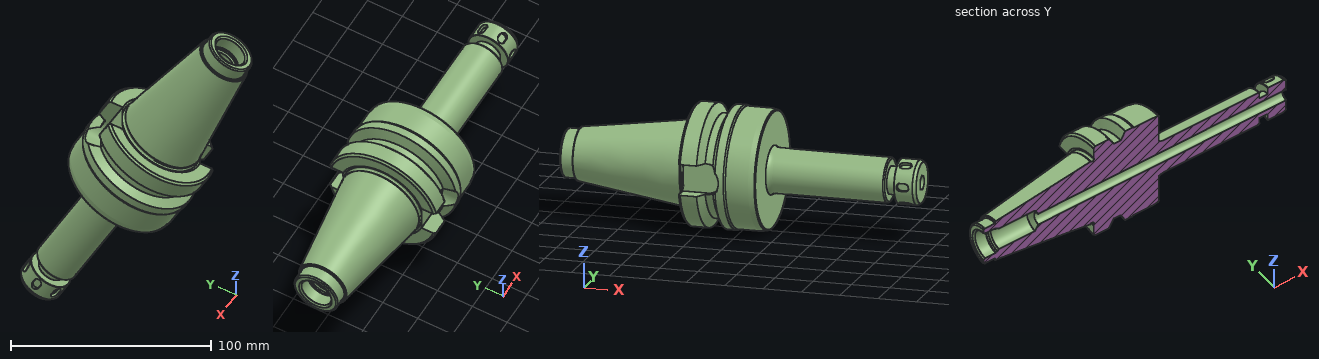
import cadquery as cq
import math

TOTAL_LENGTH = 185.4

PILOT_DIAMETER = 25.0
PILOT_END = 7.0
PILOT_CHAMFER = 0.7
TAPER_START_CHAMFER = 0.4
GAUGE_X = 65.5
GAUGE_DIAMETER = 44.5
TAPER_RATIO = 7 / 24

RELIEF_DIAMETER = 43.5
RELIEF_CHAMFER = 0.5
RELIEF_RIM_DIAMETER = 47.6
RELIEF_DEPTH = 0.4
RELIEF_RADIUS = 1.0

FLANGE_DIAMETER = 63.0
FLANGE_START = 67.3
FLANGE_CHAMFER = 1.1
FLANGE_END = 91.2
GROOVE_DIAMETER = 53.0
GROOVE_START = 77.0
GROOVE_FLOOR_START = 80.0
GROOVE_FLOOR_END = 84.0
GROOVE_END = 86.8

COLLAR_DIAMETER = 62.0
COLLAR_START = 92.1
COLLAR_END = 107.5
COLLAR_EDGE_LENGTH = 3.5
COLLAR_EDGE_DROP = 0.5
COLLAR_FACE_CHAMFER = 0.5

SHANK_DIAMETER = 23.0
SHANK_FOOT_DIAMETER = 25.0
SHANK_FOOT_LENGTH = 3.2
SHANK_END = 169.0
SHANK_CHAMFER = 0.7

NECK_DIAMETER = 14.3
NUT_START = 174.0
NUT_BACK_CHAMFER = 0.2
NUT_NOSE_LENGTH = 1.7
NUT_NOSE_DROP = 1.1

SLOT_COUNT = 6
SLOT_LENGTH = 6.3
SLOT_WIDTH = 4.0
SLOT_CENTER_X = 178.5
SLOT_FLOOR_RADIUS = 9.6

KEY_WIDTH = 16.0
KEY_FLOOR = 22.6
KEY_END = 88.6

BORE_MOUTH_DIAMETER = 19.0
BORE_DIAMETER = 17.0
BORE_END = 7.5
THREAD_RELIEF_DIAMETER = 16.0
THREAD_RELIEF_LENGTH = 1.1
THREAD_DIAMETER = 14.0
THREAD_END = 31.5
DRILL_POINT_ANGLE = 118
COOLANT_DIAMETER = 7.2


def turned_body():
    pilot = PILOT_DIAMETER / 2
    gauge = GAUGE_DIAMETER / 2
    flange = FLANGE_DIAMETER / 2
    groove = GROOVE_DIAMETER / 2
    collar = COLLAR_DIAMETER / 2
    collar_edge = collar - COLLAR_EDGE_DROP
    shank = SHANK_DIAMETER / 2
    neck = NECK_DIAMETER / 2
    relief = RELIEF_DIAMETER / 2
    relief_floor = FLANGE_START + RELIEF_DEPTH
    foot_rise = SHANK_FOOT_DIAMETER / 2 - shank
    taper_start = PILOT_END + TAPER_START_CHAMFER
    taper_small = gauge - (GAUGE_X - taper_start) * TAPER_RATIO / 2
    foot_radius = (SHANK_FOOT_LENGTH**2 + foot_rise**2) / (2 * foot_rise)
    foot_middle_x = COLLAR_END + SHANK_FOOT_LENGTH / 2
    foot_middle = shank + foot_radius - math.sqrt(foot_radius**2 - (SHANK_FOOT_LENGTH / 2) ** 2)
    return (
        cq.Workplane("XY")
        .moveTo(0, 0)
        .lineTo(0, pilot - PILOT_CHAMFER)
        .lineTo(PILOT_CHAMFER, pilot)
        .lineTo(PILOT_END, pilot)
        .lineTo(PILOT_END, taper_small - TAPER_START_CHAMFER)
        .lineTo(taper_start, taper_small)
        .lineTo(GAUGE_X, gauge)
        .lineTo(GAUGE_X + RELIEF_CHAMFER, relief)
        .lineTo(relief_floor - RELIEF_RADIUS, relief)
        .radiusArc((relief_floor, relief + RELIEF_RADIUS), -RELIEF_RADIUS)
        .lineTo(FLANGE_START, RELIEF_RIM_DIAMETER / 2)
        .lineTo(FLANGE_START, flange - FLANGE_CHAMFER)
        .lineTo(FLANGE_START + FLANGE_CHAMFER, flange)
        .lineTo(GROOVE_START, flange)
        .lineTo(GROOVE_FLOOR_START, groove)
        .lineTo(GROOVE_FLOOR_END, groove)
        .lineTo(GROOVE_END, flange)
        .lineTo(FLANGE_END, flange)
        .lineTo(COLLAR_START, collar)
        .lineTo(COLLAR_END - COLLAR_EDGE_LENGTH, collar)
        .lineTo(COLLAR_END - COLLAR_FACE_CHAMFER, collar_edge)
        .lineTo(COLLAR_END, collar_edge - COLLAR_FACE_CHAMFER)
        .lineTo(COLLAR_END, shank + foot_rise)
        .threePointArc((foot_middle_x, foot_middle), (COLLAR_END + SHANK_FOOT_LENGTH, shank))
        .lineTo(SHANK_END - SHANK_CHAMFER, shank)
        .lineTo(SHANK_END, shank - SHANK_CHAMFER)
        .lineTo(SHANK_END, neck)
        .lineTo(NUT_START, neck)
        .lineTo(NUT_START, shank - NUT_BACK_CHAMFER)
        .lineTo(NUT_START + NUT_BACK_CHAMFER, shank)
        .lineTo(TOTAL_LENGTH - NUT_NOSE_LENGTH, shank)
        .lineTo(TOTAL_LENGTH, shank - NUT_NOSE_DROP)
        .lineTo(TOTAL_LENGTH, 0)
        .close()
        .revolve(360, (0, 0, 0), (1, 0, 0))
    )


def stepped_bore():
    bore = BORE_DIAMETER / 2
    mouth = BORE_MOUTH_DIAMETER / 2
    relief = THREAD_RELIEF_DIAMETER / 2
    relief_end = BORE_END + THREAD_RELIEF_LENGTH
    thread = THREAD_DIAMETER / 2
    coolant = COOLANT_DIAMETER / 2
    half_point = math.radians(DRILL_POINT_ANGLE / 2)
    point_end = THREAD_END + (thread - coolant) / math.tan(half_point)
    return (
        cq.Workplane("XY")
        .moveTo(0, 0)
        .lineTo(0, mouth)
        .lineTo(mouth - bore, bore)
        .lineTo(BORE_END, bore)
        .lineTo(BORE_END, relief)
        .lineTo(relief_end, relief)
        .lineTo(relief_end + relief - thread, thread)
        .lineTo(THREAD_END, thread)
        .lineTo(point_end, coolant)
        .lineTo(TOTAL_LENGTH, coolant)
        .lineTo(TOTAL_LENGTH, 0)
        .close()
        .revolve(360, (0, 0, 0), (1, 0, 0))
    )


def keyway():
    """Round-ended keyway on the -Y side, open toward the taper."""
    depth = FLANGE_DIAMETER / 2 - KEY_FLOOR
    half_width = KEY_WIDTH / 2
    straight_end = KEY_END - half_width
    return (
        cq.Workplane("XZ", origin=(0, -KEY_FLOOR, 0))
        .moveTo(FLANGE_START, -half_width)
        .lineTo(straight_end, -half_width)
        .threePointArc((KEY_END, 0), (straight_end, half_width))
        .lineTo(FLANGE_START, half_width)
        .close()
        .extrude(depth)
    )


def wrench_slot():
    """Round-ended slot on the -Y side of the nut."""
    return (
        cq.Workplane("XZ", origin=(SLOT_CENTER_X, -SLOT_FLOOR_RADIUS, 0))
        .slot2D(SLOT_LENGTH, SLOT_WIDTH)
        .extrude(SHANK_DIAMETER / 2 - SLOT_FLOOR_RADIUS)
    )


def turned_about_x(shape, angle):
    return shape.rotate((0, 0, 0), (1, 0, 0), angle)


result = turned_body().cut(stepped_bore())

for side in range(2):
    result = result.cut(turned_about_x(keyway(), side * 180))

for index in range(SLOT_COUNT):
    result = result.cut(turned_about_x(wrench_slot(), index * 360 / SLOT_COUNT))